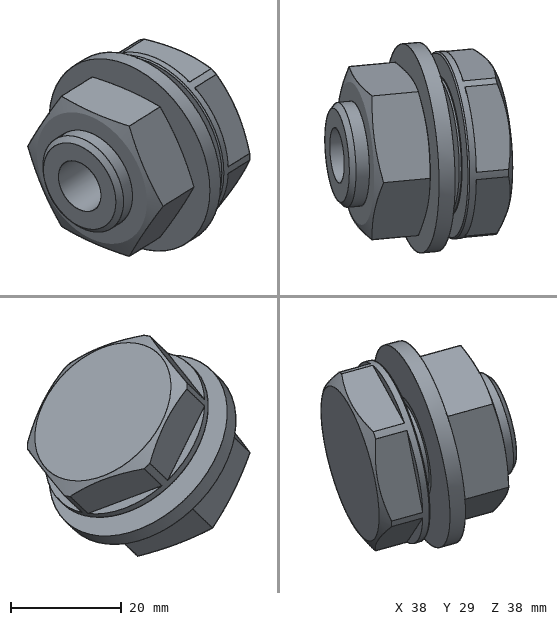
import cadquery as cq
import math


nut_start = 3.5
washer_start = 14.0
washer_end = 17.0
flange_start = 20.0
head_start = 21.5
head_end = 29.0

washer_radius = 19.0

thread_radius = 9.55
thread_chamfer = 1.0
neck_radius = 8.5
bore_radius = 5.0
seat_radius = 12.73
seat_height = 0.45
seat_chamfer = 0.3
flange_radius = 17.02
flange_chamfer = 0.25
head_across_flats = 30.17
head_crown_radius = 14.5
head_crown_angle = 30.0
bore_depth = flange_start - seat_height

nut_across_corners = 32.0
nut_chamfer_radius = 13.0
nut_chamfer_drop = 0.9


def revolve_profile(points):
    """Turn a closed (radius, axial position) outline about the Y axis."""
    return cq.Workplane("XY").polyline(points).close().revolve(360, (0, 0), (0, 1))


def cylinder(radius, start, end):
    """Make a round bar along Y."""
    return revolve_profile([(0, start), (radius, start), (radius, end), (0, end)])


def hex_prism(across_corners, start, end):
    """Make a hexagonal bar along Y, with corners on the X axis."""
    plane = cq.Workplane("XZ", origin=(0, start, 0))
    return plane.polygon(6, across_corners).extrude(start - end)


def make_screw():
    shaft = revolve_profile([
        (0, 0),
        (thread_radius - thread_chamfer, 0),
        (thread_radius, thread_chamfer),
        (thread_radius, washer_end),
        (neck_radius, washer_end),
        (neck_radius, flange_start - seat_height),
        (seat_radius - seat_chamfer, flange_start - seat_height),
        (seat_radius, flange_start - seat_height + seat_chamfer),
        (seat_radius, flange_start),
        (flange_radius - flange_chamfer, flange_start),
        (flange_radius, flange_start + flange_chamfer),
        (flange_radius, head_start),
        (0, head_start),
    ])

    crown_drop = (flange_radius - head_crown_radius) * math.tan(math.radians(head_crown_angle))
    head_envelope = revolve_profile([
        (0, head_start),
        (flange_radius, head_start),
        (flange_radius, head_end - crown_drop),
        (head_crown_radius, head_end),
        (0, head_end),
    ])
    head_across_corners = head_across_flats / math.cos(math.radians(30))
    head = hex_prism(head_across_corners, head_start, head_end).intersect(head_envelope)

    bore = cylinder(bore_radius, 0, bore_depth)
    return shaft.union(head).cut(bore)


def make_washer():
    blank = cylinder(washer_radius, washer_start, washer_end)
    return blank.cut(cylinder(thread_radius, washer_start, washer_end))


def make_nut():
    corner_radius = nut_across_corners / 2
    envelope = revolve_profile([
        (0, nut_start),
        (nut_chamfer_radius, nut_start),
        (corner_radius, nut_start + nut_chamfer_drop),
        (corner_radius, washer_start - nut_chamfer_drop),
        (nut_chamfer_radius, washer_start),
        (0, washer_start),
    ])
    blank = hex_prism(nut_across_corners, nut_start, washer_start).intersect(envelope)
    return blank.cut(cylinder(thread_radius, nut_start, washer_start))


screw = make_screw()
washer = make_washer()
nut = make_nut()

result = cq.Compound.makeCompound([screw.val(), washer.val(), nut.val()])